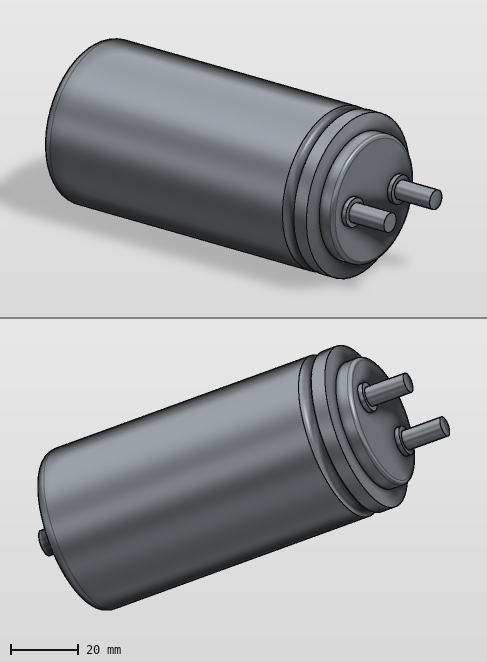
import cadquery as cq

total_length = 128.5

stud_length = 10.0
stud_diameter = 8.0

can_diameter = 50.5
can_end_fillet = 3.5
groove_start = 99.3
groove_width = 4.2
groove_depth = 1.9
rim_end = 108.2

cover_diameter = 39.8
cover_start = 109.0
cover_end = 114.0
cover_fillet = 1.2

terminal_diameter = 6.0
terminal_spacing = 22.4
collar_diameter = 9.0
collar_height = 1.5

can_radius = can_diameter / 2
cover_radius = cover_diameter / 2
groove_radius = can_radius - groove_depth
groove_end = groove_start + groove_width


def rod(diameter, start, end, y=0):
    """Cylinder parallel to X between two X positions."""
    return cq.Workplane("YZ", origin=(start, y, 0)).circle(diameter / 2).extrude(end - start)


def make_can():
    """Revolved can: rounded closed end, rolled groove, sloped rim face."""
    return (
        cq.Workplane("XY")
        .moveTo(stud_length, 0)
        .lineTo(stud_length, can_radius - can_end_fillet)
        .radiusArc((stud_length + can_end_fillet, can_radius), can_end_fillet)
        .lineTo(groove_start, can_radius)
        .threePointArc(
            (groove_start + groove_width / 2, groove_radius),
            (groove_end, can_radius),
        )
        .lineTo(rim_end, can_radius)
        .lineTo(cover_start, cover_radius)
        .lineTo(cover_start, 0)
        .close()
        .revolve(360, (0, 0, 0), (1, 0, 0))
    )


def make_cover():
    """Round cover with a rounded outer edge."""
    return rod(cover_diameter, cover_start, cover_end).faces(">X").edges().fillet(cover_fillet)


def make_terminal(y):
    """Terminal pin standing on a short collar."""
    collar = rod(collar_diameter, cover_end, cover_end + collar_height, y)
    pin = rod(terminal_diameter, cover_end, total_length, y)
    return collar.union(pin)


result = make_can().union(rod(stud_diameter, 0, stud_length)).union(make_cover())
for side in (-1, 1):
    result = result.union(make_terminal(side * terminal_spacing / 2))